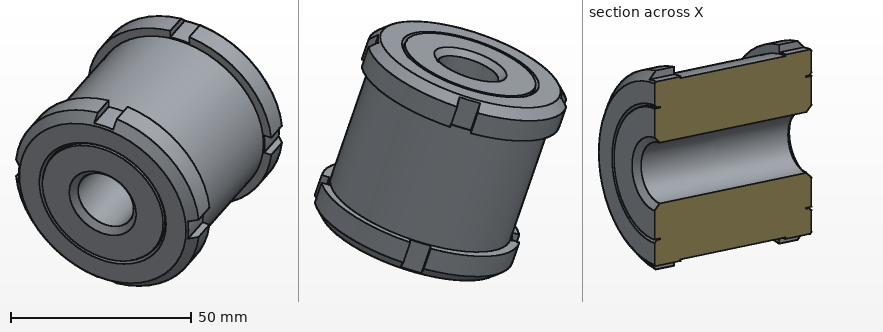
import cadquery as cq

length = 54.0
half_length = length / 2
body_diameter = 52.75
collar_diameter = 58.0
collar_width = 9.0
collar_inner_face = half_length - collar_width

rim_chamfer = 2.7
notch_width = 6.0
notch_floor_diameter = 53.6
notch_count = 4

bore_diameter = 17.5
bore_mouth_diameter = 21.1
countersink_depth = (bore_mouth_diameter - bore_diameter) / 2

core_diameter = 38.1
gap_diameter = 38.38
gap_mouth_diameter = 40.0
gap_bevel = (gap_mouth_diameter - gap_diameter) / 2
gap_depth = 2.0


def revolve_profile(points):
    """Revolve a closed outline of (radius, axial position) points about the Y axis."""
    return cq.Workplane("XY").polyline(points).close().revolve(360, (0, 0, 0), (0, 1, 0))


def make_cylinder(diameter, start, end):
    """Solid cylinder on the Y axis between two axial positions."""
    radius = diameter / 2
    return revolve_profile([(0, start), (radius, start), (radius, end), (0, end)])


def make_notch_cutter():
    """Evenly spaced bars across the +Y collar, kept outside the round notch floor."""
    bars = cq.Workplane("XY")
    for index in range(notch_count):
        bar = (
            cq.Workplane("XY")
            .box(notch_width, collar_width, collar_diameter, centered=(True, False, False))
            .translate((0, collar_inner_face, 0))
            .rotate((0, 0, 0), (0, 1, 0), index * 360 / notch_count)
        )
        bars = bars.add(bar)
    bars = bars.combine()
    return bars.cut(make_cylinder(notch_floor_diameter, collar_inner_face, half_length))


def make_collar():
    """Bevelled, notched collar at the +Y end."""
    outer_radius = collar_diameter / 2
    blank = revolve_profile([
        (0, collar_inner_face),
        (outer_radius, collar_inner_face),
        (outer_radius, half_length - rim_chamfer),
        (outer_radius - rim_chamfer, half_length),
        (0, half_length),
    ])
    return blank.cut(make_notch_cutter())


def make_bore_cutter():
    """Half of the through bore, from mid-length to the +Y end."""
    bore_radius = bore_diameter / 2
    return revolve_profile([
        (0, 0),
        (bore_radius, 0),
        (bore_radius, half_length - countersink_depth),
        (bore_mouth_diameter / 2, half_length),
        (0, half_length),
    ])


def make_gap_cutter():
    """Ring gap in the +Y end face."""
    core_radius = core_diameter / 2
    gap_radius = gap_diameter / 2
    return revolve_profile([
        (core_radius, half_length - gap_depth),
        (gap_radius, half_length - gap_depth),
        (gap_radius, half_length - gap_bevel),
        (gap_mouth_diameter / 2, half_length),
        (core_radius, half_length),
    ])


def at_both_ends(shape):
    """Return a +Y end shape and its mirror image at the -Y end."""
    return [shape, shape.mirror("XZ")]


result = make_cylinder(body_diameter, -collar_inner_face, collar_inner_face)
for collar in at_both_ends(make_collar()):
    result = result.union(collar)
for cutter in at_both_ends(make_bore_cutter()) + at_both_ends(make_gap_cutter()):
    result = result.cut(cutter)